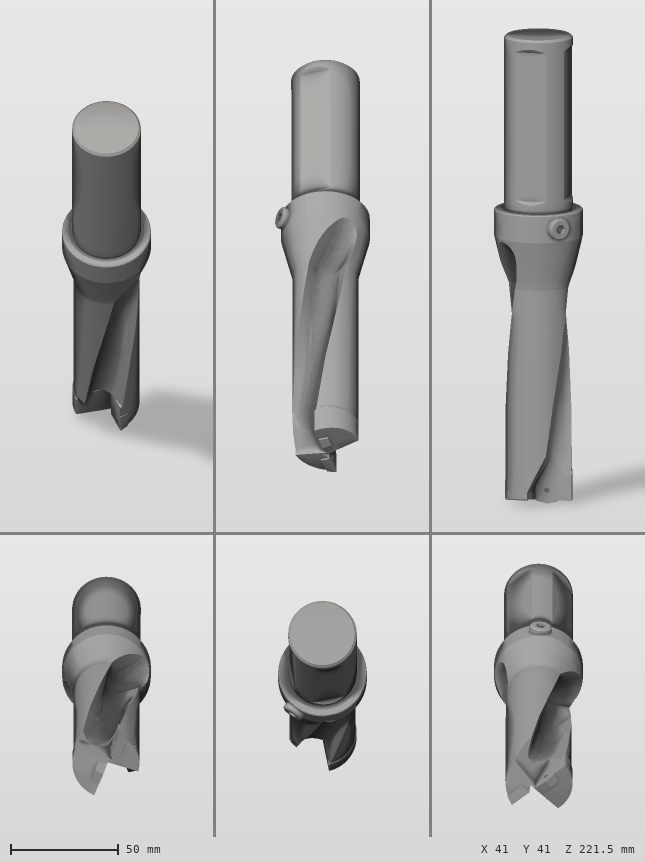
import cadquery as cq
import math


TOTAL_LENGTH = 221.5
SHANK_R = 16.0
SHANK_CHAMFER = 1.0
FLAT_X = -14.2
FLAT_BOTTOM_Z = 145.3
FLAT_TOP_Z = 215.2
FLAT_TURNS = (0, -90)
UNDERCUT_R = 15.5
UNDERCUT_TOP_Z = 140.6
FACE_GROOVE_R = 17.5
FACE_GROOVE_DEPTH = 0.7

COLLAR_R = 20.5
COLLAR_TOP_Z = 139.5
COLLAR_BOTTOM_Z = 126.7
COLLAR_CHAMFER = 0.5
COLLAR_FLAT_WIDTH = 5.8
CONE_BOTTOM_R = 15.7
CONE_BOTTOM_Z = 106.0

STEM_R = 15.3
STEM_TOP_Z = 103.2
HEAD_R = 31.7 / 2
HEAD_TOP_Z = 16.2
HEAD_END_Z = 1.8
HEAD_RELIEF_RISE = 2.7

FLUTE_R = 6.5
FLUTE_CENTRE_R = 9.5
FLUTE_FLARE = 27.0
FLUTE_OUTER_R = 24.4
HELIX_BOTTOM_Z = 46.5
HELIX_BOTTOM_ANGLE = 164.5
TWIST_PER_UNIT = 0.6999
RUNOUT_OUTWARD = 16.5
RUNOUT_POWER = 2.2
RUNOUT_STEPS = 3
RUNOUT_SIDEWAYS = 0.5
STRAIGHT_SIDEWAYS = 0.16
FLUTES = ((0, 14.0), (180, 18.5))

OUTER_POCKET_TOP_Z = 18.5
OUTER_WALL_X = 0.9
OUTER_GAP_X = 2.9
OUTER_GAP_Y = 2.2
INNER_WALL_X = 1.5
INNER_SLOPE_BOTTOM_Z = 7.5
INNER_SLOPE = 2.0
INNER_SLOPE_BLEND_R = 4.5

INSERT_THICKNESS = 4.2
INSERT_RELIEF = 11.0
INSERT_WIDTH = 10.5
OUTER_INSERT_X = 15.7
INNER_INSERT_X = 1.0
OUTER_INSERT_BOTTOM_Z = 0.9
OUTER_INSERT_TOP_Z = 11.7
INNER_INSERT_CORNER_Z = 1.0
INNER_INSERT_TOP_Z = 10.6
SCREW_HEAD_R = 4.2 / 2
SCREW_SHANK_R = 3.0 / 2
SCREW_HEAD_DEPTH = 1.8
SCREW_LENGTH = 10.0
SCREW_SOCKET_R = 2.5 / 2
SCREW_SOCKET_DEPTH = 1.0

PLUG_R = 10.2 / 2
PLUG_Z = (COLLAR_TOP_Z + COLLAR_BOTTOM_Z) / 2
PLUG_ANGLE = 135.0
PLUG_SIDE_OFFSET = 1.5
PLUG_OUTER = 23.0
PLUG_INNER = 16.4
PLUG_CHAMFER = 0.7
PLUG_SOCKET_SIZE = 4.9
PLUG_SOCKET_DEPTH = 2.7

INSERT_CENTRE_Z = (OUTER_INSERT_BOTTOM_Z + OUTER_INSERT_TOP_Z) / 2
OUTER_SCREW_X = OUTER_INSERT_X - INSERT_WIDTH / 2
INNER_SCREW_X = INNER_INSERT_X - INSERT_WIDTH / 2


def turned_blank():
    """Shank, collar, cone, stem and head as one turned shape."""
    groove_z = COLLAR_TOP_Z - FACE_GROOVE_DEPTH
    return (
        cq.Workplane("XZ")
        .moveTo(0, 0)
        .lineTo(HEAD_R, 0)
        .lineTo(HEAD_R, HEAD_TOP_Z - (HEAD_R - STEM_R))
        .lineTo(STEM_R, HEAD_TOP_Z)
        .lineTo(STEM_R, STEM_TOP_Z)
        .lineTo(CONE_BOTTOM_R, CONE_BOTTOM_Z)
        .lineTo(COLLAR_R, COLLAR_BOTTOM_Z)
        .lineTo(COLLAR_R, COLLAR_TOP_Z - COLLAR_CHAMFER)
        .lineTo(COLLAR_R - COLLAR_CHAMFER, COLLAR_TOP_Z)
        .lineTo(FACE_GROOVE_R, COLLAR_TOP_Z)
        .lineTo(FACE_GROOVE_R, groove_z)
        .lineTo(UNDERCUT_R, groove_z)
        .lineTo(UNDERCUT_R, UNDERCUT_TOP_Z)
        .lineTo(SHANK_R, UNDERCUT_TOP_Z)
        .lineTo(SHANK_R, TOTAL_LENGTH - SHANK_CHAMFER)
        .lineTo(SHANK_R - SHANK_CHAMFER, TOTAL_LENGTH)
        .lineTo(0, TOTAL_LENGTH)
        .close()
        .revolve(360, (0, 0), (0, 1))
    )


def shank_flat():
    """Cutter for the clamping flat, with 45 degree ramps at both ends."""
    reach = 4.5
    return (
        cq.Workplane("XZ")
        .moveTo(FLAT_X, FLAT_BOTTOM_Z)
        .lineTo(FLAT_X, FLAT_TOP_Z)
        .lineTo(FLAT_X - reach, FLAT_TOP_Z + reach)
        .lineTo(FLAT_X - reach, FLAT_BOTTOM_Z - reach)
        .close()
        .extrude(SHANK_R, both=True)
    )


def collar_flat():
    """Cutter for the narrow flat on the -X side of the collar."""
    flat_x = -math.sqrt(COLLAR_R**2 - (COLLAR_FLAT_WIDTH / 2) ** 2)
    height = COLLAR_TOP_Z - COLLAR_BOTTOM_Z
    return (
        cq.Workplane("XY", origin=(flat_x, 0, COLLAR_BOTTOM_Z))
        .rect(2 * (COLLAR_R + flat_x), COLLAR_FLAT_WIDTH)
        .extrude(height)
        .translate((-(COLLAR_R + flat_x), 0, 0))
    )


def flute_profile(z, angle):
    """Flute section at height z, open towards the given angle."""
    flare = math.radians(FLUTE_FLARE)
    seam_x = FLUTE_CENTRE_R - FLUTE_R * math.sin(flare)
    seam_y = FLUTE_R * math.cos(flare)
    outer_y = seam_y + (FLUTE_OUTER_R - seam_x) * math.tan(flare)
    return (
        cq.Workplane("XY", origin=(0, 0, z))
        .moveTo(FLUTE_OUTER_R, outer_y)
        .lineTo(seam_x, seam_y)
        .threePointArc((FLUTE_CENTRE_R - FLUTE_R, 0), (seam_x, -seam_y))
        .lineTo(FLUTE_OUTER_R, -outer_y)
        .close()
        .wires()
        .val()
        .rotate(cq.Vector(0, 0, 0), cq.Vector(0, 0, 1), angle)
    )


def travel(angle, height, outward, sideways):
    """Shift of a flute section that opens towards the given angle."""
    turn = math.radians(angle)
    return cq.Vector(
        outward * math.cos(turn) - sideways * math.sin(turn),
        outward * math.sin(turn) + sideways * math.cos(turn),
        height,
    )


def flute_stretches(bottom_z):
    """Cutters for one whole flute: straight stretch, helix and curved runout."""
    bottom_profile = flute_profile(HELIX_BOTTOM_Z, HELIX_BOTTOM_ANGLE)
    drop = bottom_z - HELIX_BOTTOM_Z
    straight_travel = travel(HELIX_BOTTOM_ANGLE, drop, 0, STRAIGHT_SIDEWAYS * drop)
    straight = cq.Solid.extrudeLinear(bottom_profile, [], straight_travel)

    helix_height = STEM_TOP_Z - HELIX_BOTTOM_Z
    helix_turn = TWIST_PER_UNIT * helix_height
    helix = cq.Solid.extrudeLinearWithRotation(
        bottom_profile,
        [],
        cq.Vector(0, 0, HELIX_BOTTOM_Z),
        cq.Vector(0, 0, helix_height),
        helix_turn,
    )

    top_angle = HELIX_BOTTOM_ANGLE + helix_turn
    top_profile = flute_profile(STEM_TOP_Z, top_angle)
    runout_sections = []
    for step in range(RUNOUT_STEPS + 1):
        share = step / RUNOUT_STEPS
        height = share * (COLLAR_BOTTOM_Z - STEM_TOP_Z)
        outward = RUNOUT_OUTWARD * share**RUNOUT_POWER
        shift = travel(top_angle, height, outward, RUNOUT_SIDEWAYS * height)
        runout_sections.append(top_profile.translate(shift))
    runout = cq.Solid.makeLoft(runout_sections)
    return [cq.Workplane(straight), cq.Workplane(helix), cq.Workplane(runout)]


def pad_clearance():
    """Cutter that leaves the head at stem radius on its +Y half."""
    ring = cq.Workplane("XY").circle(HEAD_R).circle(STEM_R).extrude(HEAD_TOP_Z)
    half = cq.Workplane("XY").center(0, HEAD_R / 2).rect(2 * HEAD_R, HEAD_R).extrude(HEAD_TOP_Z)
    return ring.intersect(half)


def outer_pocket():
    """Chip space in front of the outer insert, with a V gap beside the core."""
    return (
        cq.Workplane("XY")
        .moveTo(OUTER_WALL_X, -HEAD_R)
        .lineTo(OUTER_GAP_X, OUTER_GAP_Y)
        .lineTo(OUTER_INSERT_X - INSERT_WIDTH, 0)
        .lineTo(HEAD_R, 0)
        .lineTo(HEAD_R, -HEAD_R)
        .close()
        .extrude(OUTER_POCKET_TOP_Z)
    )


def inner_pocket():
    """Chip space in front of the inner insert, with a wall that slopes towards the core."""
    slope_top_z = INNER_SLOPE_BOTTOM_Z + INNER_SLOPE * (INNER_WALL_X + HEAD_R)
    return (
        cq.Workplane("XZ")
        .moveTo(-HEAD_R, 0)
        .lineTo(INNER_WALL_X, 0)
        .lineTo(INNER_WALL_X, INNER_SLOPE_BOTTOM_Z)
        .lineTo(-HEAD_R, slope_top_z)
        .close()
        .extrude(-HEAD_R)
        .edges(cq.NearestToPointSelector((INNER_WALL_X, HEAD_R / 2, INNER_SLOPE_BOTTOM_Z)))
        .fillet(INNER_SLOPE_BLEND_R)
    )


def end_relief():
    """Cutter that leaves the head end as two faces rising from the centre plane."""
    rim_z = HEAD_END_Z + HEAD_RELIEF_RISE
    return (
        cq.Workplane("YZ")
        .moveTo(-HEAD_R, 0)
        .lineTo(-HEAD_R, rim_z)
        .lineTo(0, HEAD_END_Z)
        .lineTo(HEAD_R, rim_z)
        .lineTo(HEAD_R, 0)
        .close()
        .extrude(HEAD_R, both=True)
    )


def clamping_screw(x, facing):
    """Countersunk screw with its head in the plane y = 0; facing is the Y sign of the head."""
    screw = (
        cq.Workplane("XY")
        .moveTo(0, 0)
        .lineTo(SCREW_HEAD_R, 0)
        .lineTo(SCREW_SHANK_R, -SCREW_HEAD_DEPTH)
        .lineTo(SCREW_SHANK_R, -SCREW_LENGTH)
        .lineTo(0, -SCREW_LENGTH)
        .close()
        .revolve(360, (0, 0), (0, 1))
    )
    if facing < 0:
        screw = screw.rotate((0, 0, 0), (0, 0, 1), 180)
    return screw.translate((x, 0, INSERT_CENTRE_Z))


def screw_socket(x, facing):
    """Cutter for the drive socket in a clamping screw."""
    return (
        cq.Workplane("XZ", origin=(x, 0, INSERT_CENTRE_Z))
        .circle(SCREW_SOCKET_R)
        .extrude(facing * SCREW_SOCKET_DEPTH)
    )


def outer_insert():
    """Nearly square insert that cuts to the full drill radius; it faces -Y."""
    height = OUTER_INSERT_TOP_Z - OUTER_INSERT_BOTTOM_Z
    return (
        cq.Workplane("XZ", origin=(OUTER_SCREW_X, 0, INSERT_CENTRE_Z))
        .rect(INSERT_WIDTH, height)
        .extrude(-INSERT_THICKNESS, taper=INSERT_RELIEF)
    )


def inner_insert():
    """Insert with a pointed lower edge that cuts past the axis; it faces +Y."""
    left_x = INNER_INSERT_X - INSERT_WIDTH
    return (
        cq.Workplane("XZ")
        .moveTo(left_x, INNER_INSERT_CORNER_Z)
        .lineTo(INNER_SCREW_X, 0)
        .lineTo(INNER_INSERT_X, INNER_INSERT_CORNER_Z)
        .lineTo(INNER_INSERT_X, INNER_INSERT_TOP_Z)
        .lineTo(left_x, INNER_INSERT_TOP_Z)
        .close()
        .extrude(INSERT_THICKNESS, taper=INSERT_RELIEF)
    )


def plug_plane():
    """Workplane at the inner end of the plug, facing outward."""
    turn = math.radians(PLUG_ANGLE)
    out = cq.Vector(math.cos(turn), math.sin(turn), 0)
    side = cq.Vector(math.sin(turn), -math.cos(turn), 0)
    origin = out * PLUG_INNER + side * PLUG_SIDE_OFFSET + cq.Vector(0, 0, PLUG_Z)
    return cq.Workplane(cq.Plane(origin=origin, xDir=side, normal=out))


def plug_hole():
    """Plain cylinder that fills the plug's hole in the collar."""
    return plug_plane().circle(PLUG_R).extrude(PLUG_OUTER - PLUG_INNER)


def coolant_plug():
    """Round plug with a chamfered rim and a hexagon socket."""
    return (
        plug_hole()
        .faces(cq.selectors.DirectionMinMaxSelector(plug_plane().plane.zDir, True))
        .chamfer(PLUG_CHAMFER)
        .cut(
            plug_plane()
            .workplane(offset=PLUG_OUTER - PLUG_INNER - PLUG_SOCKET_DEPTH)
            .polygon(6, PLUG_SOCKET_SIZE)
            .extrude(PLUG_SOCKET_DEPTH)
        )
    )


drill = turned_blank().cut(collar_flat()).cut(pad_clearance())
for flat_turn in FLAT_TURNS:
    drill = drill.cut(shank_flat().rotate((0, 0, 0), (0, 0, 1), flat_turn))
for flute_turn, flute_bottom_z in FLUTES:
    for stretch in flute_stretches(flute_bottom_z):
        drill = drill.cut(stretch.rotate((0, 0, 0), (0, 0, 1), flute_turn))
drill = drill.cut(outer_pocket()).cut(inner_pocket()).cut(end_relief()).cut(plug_hole())

inserts = []
screws = []
for blank, screw_x, head_facing in (
    (outer_insert(), OUTER_SCREW_X, -1),
    (inner_insert(), INNER_SCREW_X, 1),
):
    solid_screw = clamping_screw(screw_x, head_facing)
    drill = drill.cut(blank).cut(solid_screw)
    inserts.append(blank.cut(solid_screw))
    screws.append(solid_screw.cut(screw_socket(screw_x, head_facing)))

result = cq.Compound.makeCompound(
    [
        *drill.vals(),
        *[insert.val() for insert in inserts],
        *[screw.val() for screw in screws],
        coolant_plug().val(),
    ]
)